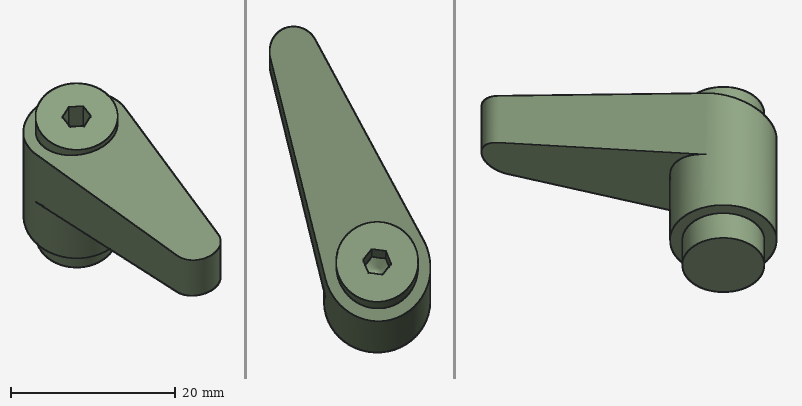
import cadquery as cq
import math

hub_radius = 6.5
tip_radius = 3.0
tip_x = 36.5 - hub_radius - tip_radius
pin_diameter = 10.0
pin_height = 24.53
hub_bottom = 4.0
hub_side_top = 20.48
tip_top = 30.5
tip_bottom = 23.15
underside_angle = 20
socket_flats = 3.0
socket_depth = 4.0
socket_cone_depth = 1.0

taper_sine = (hub_radius - tip_radius) / tip_x
taper_cosine = math.sqrt(1 - taper_sine**2)
hub_tangent_x = hub_radius * taper_sine
hub_tangent_y = hub_radius * taper_cosine
tip_tangent_x = tip_x + tip_radius * taper_sine
tip_tangent_y = tip_radius * taper_cosine
hub_end_x = -hub_radius
tip_end_x = tip_x + tip_radius


def make_arm_plan():
    """Teardrop plan of the handle, as a tall prism."""
    return (
        cq.Workplane("XY")
        .moveTo(hub_tangent_x, hub_tangent_y)
        .threePointArc((hub_end_x, 0), (hub_tangent_x, -hub_tangent_y))
        .lineTo(tip_tangent_x, -tip_tangent_y)
        .threePointArc((tip_end_x, 0), (tip_tangent_x, tip_tangent_y))
        .close()
        .extrude(tip_top)
    )


def extrude_side_profile(points):
    """Prism across the full width from an outline in the XZ plane."""
    return cq.Workplane("XZ").polyline(points).close().extrude(hub_radius, both=True)


def make_handle():
    """Hub and arm sharing one sloping top face."""
    arm_start_z = tip_bottom - (tip_end_x - hub_tangent_x) * math.tan(math.radians(underside_angle))
    arm_side = extrude_side_profile([
        (hub_tangent_x, arm_start_z),
        (tip_end_x, tip_bottom),
        (tip_end_x, tip_top),
        (hub_end_x, hub_side_top),
        (hub_end_x, hub_bottom),
        (hub_tangent_x, hub_bottom),
    ])
    hub_side = extrude_side_profile([
        (hub_end_x, hub_bottom),
        (tip_end_x, hub_bottom),
        (tip_end_x, tip_top),
        (hub_end_x, hub_side_top),
    ])
    hub = cq.Workplane("XY").circle(hub_radius).extrude(tip_top).intersect(hub_side)
    return make_arm_plan().intersect(arm_side).union(hub)


def make_socket():
    """Hexagonal socket whose walls run down into a conical floor."""
    corner_radius = socket_flats / 2 / math.cos(math.radians(30))
    floor_z = pin_height - socket_depth
    cone_tip_z = floor_z - socket_cone_depth
    hexagon = (
        cq.Workplane("XY", origin=(0, 0, cone_tip_z))
        .polygon(6, 2 * corner_radius)
        .extrude(pin_height - cone_tip_z)
    )
    pointed_cylinder = cq.Workplane("XZ").polyline([
        (0, cone_tip_z),
        (corner_radius, floor_z),
        (corner_radius, pin_height),
        (0, pin_height),
    ]).close().revolve(360, (0, 0), (0, 1))
    return hexagon.intersect(pointed_cylinder)


pin = cq.Workplane("XY").circle(pin_diameter / 2).extrude(pin_height)
result = make_handle().union(pin).cut(make_socket())